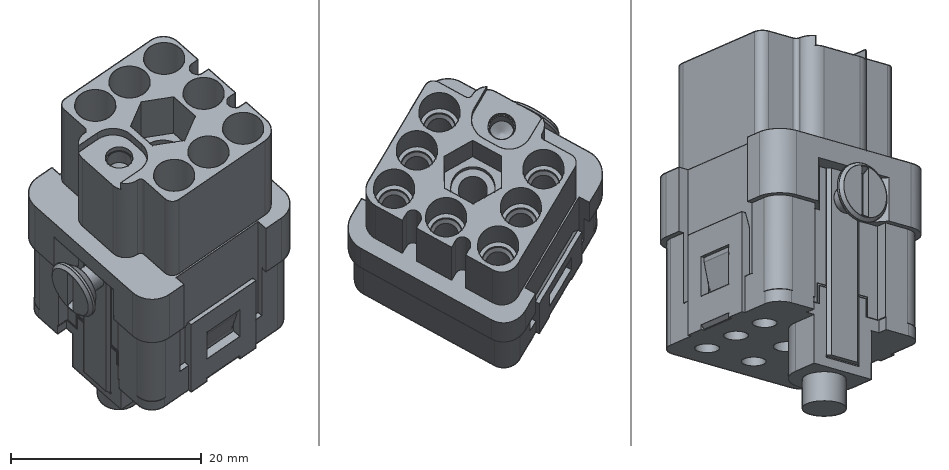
import cadquery as cq
import math

cable_bottom = 0
tab_bottom = 3.25
body_bottom = 8.72
collar_split = 10.15
side_ledge = 12.8
clip_top = 19.95
flange_bottom = 20.65
window_top = 25.53
flange_top = 27.85
recess_floor = 39.1
top = 40.2

flange_half = 10.5
body_half = 9.85
back_corner_axis = 7.88
front_corner_axis = 7.7

neck_half = 9.05
neck_back = 8.8
neck_front = -6.2
neck_back_radius = 1.95
neck_front_radius = 1.05
boss_half = 4.22
boss_front = -8.52
boss_radius = 1.8
boss_root_radius = 0.5
key_slot_x = 2.97
key_slot_half = 0.85
key_slot_radius = 0.8
key_slot_end = 7.15

cavity_x = 6.27
cavity_rows = (6.25, 1.4, -3.38)
cavity_diameter = 4.3
cavity_depth = 6.05
contact_mouth_diameter = 3.38
contact_bore_diameter = 2.6
contact_mouth_depth = 0.4

hex_y = 0.55
hex_across_flats = 6.0
hex_depth = 6.05
hex_step_diameter = 4.65
hex_step_depth = 0.8
hex_bore_diameter = 3.0

entry_y = -5.55
entry_half = 3.35
entry_back = -3.18
entry_radius = 2.5
entry_mouth_diameter = 2.85
entry_mouth_depth = 0.6
entry_hole_diameter = 2.57
entry_hole_depth = 2.4
entry_tip_angle = 120

side_half = 5.7
side_flat_x = 9.25
clip_half = 4.5
clip_outer = 10.25
clip_inner = 9.75
clip_gap_depth = 1.5
clip_window_half = 2.3
clip_window_top = 16.9
clip_window_bottom = 12.45
clip_window_depth = 1.0
latch_half = 2.05
latch_top = 16.75
latch_edge = 16.25
latch_bottom = 13.0
latch_setback = 0.2
clip_foot_height = 0.52

channel_half = 4.75
channel_floor = -8.52
window_floor_half = 3.05
tab_half = 3.85
tab_front = -8.65
tab_back = -2.15
tab_back_radius = 3.38
tab_foot_half = 4.85
collar_half = 3.38
collar_top = 12.4
collar_step = 0.25
strip_half = 2.17
strip_face_half = 1.75
strip_front = -8.92
strip_bottom = 4.6
strip_groove = 0.3
cable_diameter = 4.62

screw_z = 22.3
screw_front = -12.4
screw_shank_diameter = 2.8
screw_neck_y = -10.75
screw_neck_diameter = 4.45
screw_rim_y = -11.75
screw_diameter = 6.47
screw_edge_chamfer = 0.35
slot_width = 0.9
slot_half_length = 2.77
slot_floor_half = 2.3
slot_depth = 0.9


def box(x0, x1, y0, y1, z0, z1):
    """Box between two opposite corners."""
    return cq.Workplane("XY").box(x1 - x0, y1 - y0, z1 - z0, centered=False).translate((x0, y0, z0))


def cylinder(x, y, diameter, z0, z1):
    """Vertical cylinder."""
    return cq.Workplane("XY", origin=(x, y, z0)).circle(diameter / 2).extrude(z1 - z0)


def both_sides(shape):
    """Shape together with its mirror image across the YZ plane."""
    return shape.union(shape.mirror("YZ"))


def rounded_block(half, front_axis, z0, z1):
    """Square block whose corners are rounded about the given corner axes."""
    block = box(-half, half, -half, half, z0, z1)
    block = block.edges("|Z and >Y").fillet(half - back_corner_axis)
    return block.edges("|Z and <Y").fillet(half - front_axis)


def make_neck():
    neck = box(-neck_half, neck_half, neck_front, neck_back, flange_top, top)
    neck = neck.edges("|Z and >Y").fillet(neck_back_radius)
    neck = neck.edges("|Z and <Y").fillet(neck_front_radius)
    boss = box(-boss_half, boss_half, boss_front, entry_back, flange_top, top)
    boss = boss.edges("|Z and <Y").fillet(boss_radius)
    root_edges = cq.selectors.BoxSelector(
        (-boss_half - boss_root_radius, neck_front - boss_root_radius, flange_top),
        (boss_half + boss_root_radius, neck_front + boss_root_radius, top),
    )
    neck = neck.union(boss).edges("|Z").edges(root_edges).fillet(boss_root_radius)
    slot = box(
        key_slot_x - key_slot_half, key_slot_x + key_slot_half,
        key_slot_end, neck_back, flange_top, top,
    )
    slot = slot.edges("|Z and <Y").fillet(key_slot_radius)
    return neck.cut(both_sides(slot))


def side_recess():
    """Flat on the +X side, from the top of the flange down to the ledge."""
    return box(side_flat_x, flange_half, -side_half, side_half, side_ledge, flange_top)


def side_clip():
    """Spring clip on the +X side, bevelled behind its top edge and under its foot."""
    clip = box(side_flat_x, clip_outer, -clip_half, clip_half, body_bottom, clip_top)
    gap = [(side_flat_x, clip_top), (clip_inner, clip_top), (side_flat_x, clip_top - clip_gap_depth)]
    clip = clip.cut(cq.Workplane("XZ").polyline(gap).close().extrude(clip_half, both=True))
    foot = [
        (clip_outer, body_bottom),
        (clip_outer, body_bottom + clip_foot_height),
        (clip_outer - clip_foot_height, body_bottom),
    ]
    return clip.cut(cq.Workplane("XZ").polyline(foot).close().extrude(clip_window_half, both=True))


def latch_pocket():
    """Window in the +X clip around a latch whose face leans inward toward the bottom."""
    window_back = clip_outer - clip_window_depth
    latch_face = clip_outer - latch_setback
    window = box(
        window_back, clip_outer, -clip_window_half, clip_window_half, clip_window_bottom, clip_window_top,
    )
    latch = [
        (window_back, latch_top),
        (latch_face, latch_top),
        (latch_face, latch_edge),
        (window_back, latch_bottom),
    ]
    return window.cut(cq.Workplane("XZ").polyline(latch).close().extrude(latch_half, both=True))


def front_channel():
    """Channel up the front, with a flared window through the flange."""
    channel = box(-channel_half, channel_half, -flange_half, channel_floor, body_bottom, flange_bottom)
    foot = box(-tab_foot_half, tab_foot_half, -flange_half, channel_floor, body_bottom, collar_split)
    flare = [
        (-channel_half, -flange_half),
        (channel_half, -flange_half),
        (window_floor_half, channel_floor),
        (-window_floor_half, channel_floor),
    ]
    window = cq.Workplane("XY", origin=(0, 0, flange_bottom)).polyline(flare).close()
    return channel.union(foot).union(window.extrude(window_top - flange_bottom))


def make_tab():
    """Tab with a rounded back, a wide foot and a stepped collar on its front face."""
    tab = box(-tab_half, tab_half, tab_front, tab_back, tab_bottom, collar_split)
    tab = tab.edges("|Z and >Y").fillet(tab_back_radius)
    foot = box(-tab_foot_half, tab_foot_half, tab_front, channel_floor, body_bottom, collar_split)
    ledge_front = (tab_front + channel_floor) / 2
    ledge = box(-collar_half, collar_half, ledge_front, channel_floor, body_bottom, collar_top)
    inner_half = collar_half - collar_step
    inner_top = collar_top - collar_step
    collar = box(-inner_half, inner_half, tab_front, channel_floor, body_bottom, inner_top)
    return tab.union(foot).union(ledge).union(collar)


def strip_end_groove():
    """Sloped groove in the tab just below the strip."""
    outline = [
        (tab_front, strip_bottom - strip_groove),
        (tab_front, strip_bottom),
        (tab_front + strip_groove, strip_bottom),
    ]
    return cq.Workplane("YZ").polyline(outline).close().extrude(strip_half, both=True)


def make_strip():
    """Long strip with bevelled sides, standing proud of the tab and the channel floor."""
    outline = [
        (-strip_half, channel_floor),
        (-strip_half, tab_front),
        (-strip_face_half, strip_front),
        (strip_face_half, strip_front),
        (strip_half, tab_front),
        (strip_half, channel_floor),
    ]
    strip = cq.Workplane("XY", origin=(0, 0, strip_bottom)).polyline(outline).close()
    return strip.extrude(window_top - strip_bottom)


def make_screw():
    profile = [
        (0, channel_floor),
        (screw_shank_diameter / 2, channel_floor),
        (screw_shank_diameter / 2, screw_neck_y),
        (screw_neck_diameter / 2, screw_neck_y),
        (screw_diameter / 2, screw_rim_y),
        (screw_diameter / 2, screw_front + screw_edge_chamfer),
        (screw_diameter / 2 - screw_edge_chamfer, screw_front),
        (0, screw_front),
    ]
    screw = cq.Workplane("XY").polyline(profile).close().revolve(360, (0, 0, 0), (0, 1, 0))
    slot_outline = [
        (screw_front, -slot_half_length),
        (screw_front, slot_half_length),
        (screw_front + slot_depth, slot_floor_half),
        (screw_front + slot_depth, -slot_floor_half),
    ]
    slot = cq.Workplane("YZ").polyline(slot_outline).close().extrude(slot_width / 2, both=True)
    return screw.cut(slot).translate((0, 0, screw_z))


def contact_cavity(x, y):
    """Through hole: wide cavity, contact mouth, cone, then the contact bore."""
    mouth_top = top - cavity_depth
    mouth_bottom = mouth_top - contact_mouth_depth
    cone_height = (contact_mouth_diameter - contact_bore_diameter) / 2
    profile = [
        (0, body_bottom),
        (contact_bore_diameter / 2, body_bottom),
        (contact_bore_diameter / 2, mouth_bottom - cone_height),
        (contact_mouth_diameter / 2, mouth_bottom),
        (contact_mouth_diameter / 2, mouth_top),
        (cavity_diameter / 2, mouth_top),
        (cavity_diameter / 2, top),
        (0, top),
    ]
    cavity = cq.Workplane("XZ").polyline(profile).close().revolve(360, (0, 0, 0), (0, 1, 0))
    return cavity.translate((x, y, 0))


def hex_socket():
    across_corners = hex_across_flats / math.cos(math.pi / 6)
    hex_floor = top - hex_depth
    socket = cq.Workplane("XY", origin=(0, hex_y, hex_floor)).polygon(6, across_corners).extrude(hex_depth)
    socket = socket.union(cylinder(0, hex_y, hex_step_diameter, hex_floor - hex_step_depth, top))
    return socket.union(cylinder(0, hex_y, hex_bore_diameter, body_bottom, top))


def wire_entry():
    """Shallow recess open to the front of the boss, with a pointed blind hole in its floor."""
    recess = box(-entry_half, entry_half, boss_front, entry_back, recess_floor, top)
    recess = recess.edges("|Z and >Y").fillet(entry_radius)
    mouth_bottom = recess_floor - entry_mouth_depth
    hole_bottom = recess_floor - entry_hole_depth
    hole_radius = entry_hole_diameter / 2
    tip_depth = hole_radius / math.tan(math.radians(entry_tip_angle / 2))
    profile = [
        (0, recess_floor),
        (entry_mouth_diameter / 2, recess_floor),
        (entry_mouth_diameter / 2, mouth_bottom),
        (hole_radius, mouth_bottom),
        (hole_radius, hole_bottom),
        (0, hole_bottom - tip_depth),
    ]
    hole = cq.Workplane("XZ").polyline(profile).close().revolve(360, (0, 0, 0), (0, 1, 0))
    return recess.union(hole.translate((0, entry_y, 0)))


housing = rounded_block(body_half, back_corner_axis, body_bottom, collar_split)
housing = housing.union(rounded_block(body_half, front_corner_axis, collar_split, flange_bottom))
housing = housing.union(rounded_block(flange_half, front_corner_axis, flange_bottom, flange_top))
housing = housing.cut(both_sides(side_recess())).union(both_sides(side_clip()))
housing = housing.cut(both_sides(latch_pocket())).union(make_neck())

housing = housing.cut(front_channel()).union(make_tab())
housing = housing.union(cylinder(0, entry_y, cable_diameter, cable_bottom, tab_bottom))
housing = housing.cut(strip_end_groove()).union(make_strip()).union(make_screw())

for row_y in cavity_rows:
    for column_x in (-cavity_x, cavity_x):
        housing = housing.cut(contact_cavity(column_x, row_y))
housing = housing.cut(contact_cavity(0, cavity_rows[0]))
housing = housing.cut(hex_socket()).cut(wire_entry())

result = housing